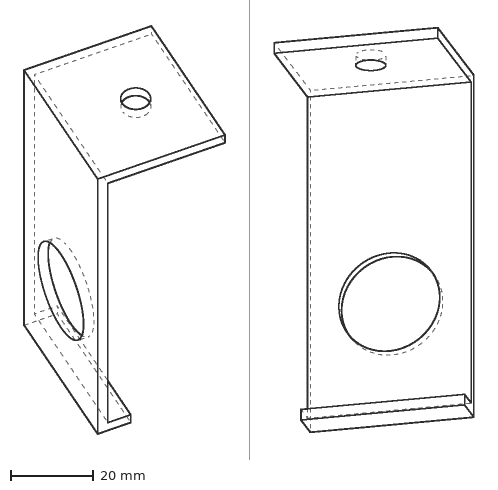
import cadquery as cq

width = 41.2
depth = 34.5
height = 88.9
thickness = 2.75

lip_depth = 9.0

window_diameter = 25.4
window_height = 30.9

mount_diameter = 7.3
mount_setback = 20.3

profile = [
    (0, 0),
    (lip_depth, 0),
    (lip_depth, thickness),
    (thickness, thickness),
    (thickness, height - thickness),
    (depth, height - thickness),
    (depth, height),
    (0, height),
]
bracket = cq.Workplane("YZ").polyline(profile).close().extrude(width / 2, both=True)

window = (
    cq.Workplane("XZ")
    .center(0, window_height)
    .circle(window_diameter / 2)
    .extrude(-thickness)
)

mount_hole = (
    cq.Workplane("XY", origin=(0, mount_setback, height - thickness))
    .circle(mount_diameter / 2)
    .extrude(thickness)
)

result = bracket.cut(window).cut(mount_hole)